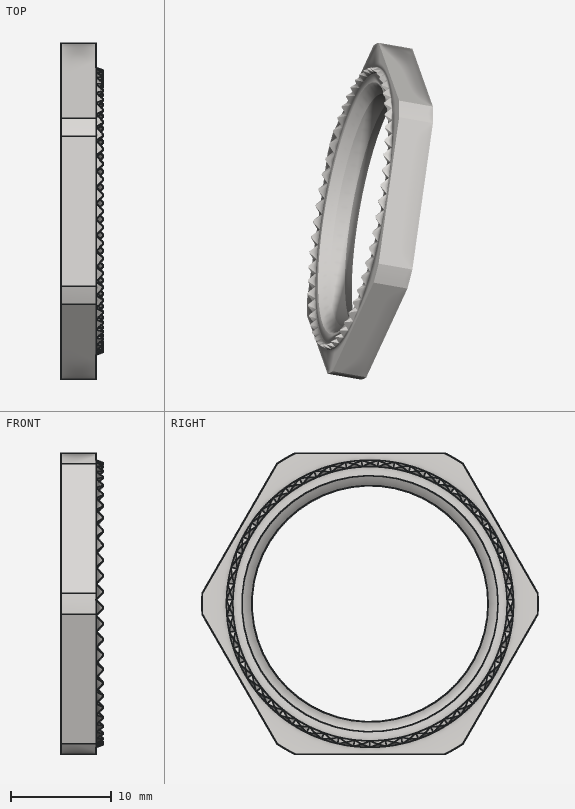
import cadquery as cq
import math


across_flats = 30.0
corner_trim_diameter = 33.5
body_thickness = 3.5

bore_diameter = 23.5
bore_chamfer = 1.0

tooth_count = 55
tooth_height = 0.7
tooth_ring_outer_diameter = 28.6
tooth_ring_tip_diameter = 28.1
tooth_ring_inner_diameter = 27.3
tooth_ring_inner_tip_diameter = 27.95
groove_angle = 90.0
cutter_margin = 0.5


def make_body():
    """Hexagon with flats on +Z and -Z, its corners trimmed by a cylinder."""
    across_corners = across_flats / math.cos(math.radians(30))
    hexagon = cq.Workplane("YZ").polygon(6, across_corners).extrude(body_thickness)
    corner_trim = cq.Workplane("YZ").circle(corner_trim_diameter / 2).extrude(body_thickness)
    return hexagon.intersect(corner_trim)


def make_bore():
    """Revolved cutter for the bore and its two end chamfers."""
    bore_radius = bore_diameter / 2
    mouth_radius = bore_radius + bore_chamfer
    return (
        cq.Workplane("XY")
        .lineTo(0, mouth_radius)
        .lineTo(bore_chamfer, bore_radius)
        .lineTo(body_thickness - bore_chamfer, bore_radius)
        .lineTo(body_thickness, mouth_radius)
        .lineTo(body_thickness, 0)
        .close()
        .revolve(360, (0, 0, 0), (1, 0, 0))
    )


def make_groove():
    """V cutter running out along +Z, its bottom edge on the +X face of the body."""
    cutter_depth = tooth_height + cutter_margin
    half_width = cutter_depth * math.tan(math.radians(groove_angle / 2))
    cutter_start = tooth_ring_inner_diameter / 2 - cutter_margin
    cutter_length = tooth_ring_outer_diameter / 2 + cutter_margin - cutter_start
    return (
        cq.Workplane("XY", origin=(body_thickness, 0, cutter_start))
        .lineTo(cutter_depth, half_width)
        .lineTo(cutter_depth, -half_width)
        .close()
        .extrude(cutter_length)
    )


def make_teeth():
    """Tapered ring divided by V grooves, leaving one tooth centred on +Z."""
    tip_plane = body_thickness + tooth_height
    ring = (
        cq.Workplane("XY")
        .moveTo(body_thickness, tooth_ring_inner_diameter / 2)
        .lineTo(body_thickness, tooth_ring_outer_diameter / 2)
        .lineTo(tip_plane, tooth_ring_tip_diameter / 2)
        .lineTo(tip_plane, tooth_ring_inner_tip_diameter / 2)
        .close()
        .revolve(360, (0, 0, 0), (1, 0, 0))
    )
    groove = make_groove().val()
    pitch_angle = 360 / tooth_count
    axis_start = cq.Vector(0, 0, 0)
    axis_end = cq.Vector(1, 0, 0)
    grooves = []
    for index in range(tooth_count):
        angle = (index + 0.5) * pitch_angle
        grooves.append(groove.rotate(axis_start, axis_end, angle))
    return ring.val().cut(*grooves)


body = make_body().cut(make_bore())
result = body.union(cq.Workplane(make_teeth()))